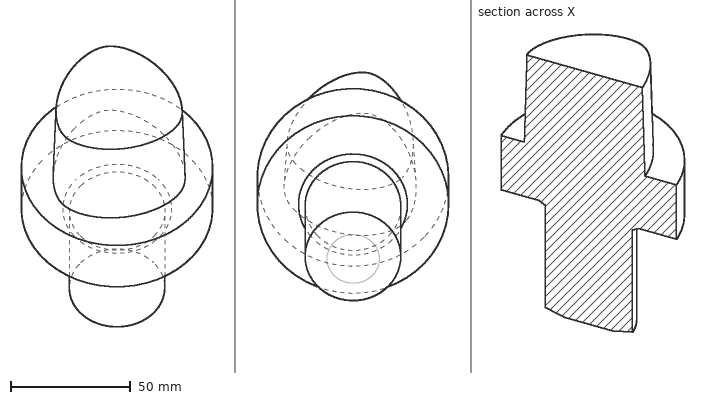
import cadquery as cq
import math

total_height = 138.0
flange_diameter = 80.0
flange_height = 30.0
shank_diameter = 40.0
tip_diameter = 22.0
tip_height = 2.5
neck_top_diameter = 45.5
neck_height = 1.7

head_height = 48.0
head_base_width = 55.2
head_taper = 1 / 20
lobe_offset = 2.0
lobe_direction = -math.pi / 2
curve_points = 48

flange_top = total_height - head_height
flange_bottom = flange_top - flange_height
head_top_width = head_base_width - head_taper * head_height


def make_body():
    """Revolve the shank, its conical tip and neck, and the flange."""
    profile = (
        cq.Workplane("XZ")
        .moveTo(0, 0)
        .lineTo(tip_diameter / 2, 0)
        .lineTo(shank_diameter / 2, tip_height)
        .lineTo(shank_diameter / 2, flange_bottom - neck_height)
        .lineTo(neck_top_diameter / 2, flange_bottom)
        .lineTo(flange_diameter / 2, flange_bottom)
        .lineTo(flange_diameter / 2, flange_top)
        .lineTo(0, flange_top)
        .close()
    )
    return profile.revolve(360, (0, 0, 0), (0, 1, 0))


def lobed_point(width, angle):
    """Point of the lobed curve whose outward normal lies at the given angle."""
    lobe_angle = 3 * (angle - lobe_direction)
    reach = width / 2 + lobe_offset * math.cos(lobe_angle)
    reach_slope = -3 * lobe_offset * math.sin(lobe_angle)
    return (
        reach * math.cos(angle) - reach_slope * math.sin(angle),
        reach * math.sin(angle) + reach_slope * math.cos(angle),
    )


def lobed_outline(width):
    """Points around the closed lobed curve of the given width."""
    step = 2 * math.pi / curve_points
    return [lobed_point(width, i * step) for i in range(curve_points)]


def make_head():
    """Loft the tapered head between its base and top outlines."""
    return (
        cq.Workplane("XY", origin=(0, 0, flange_top))
        .spline(lobed_outline(head_base_width), periodic=True, makeWire=True)
        .workplane(offset=head_height)
        .spline(lobed_outline(head_top_width), periodic=True, makeWire=True)
        .loft(ruled=True, combine=True)
    )


result = make_body().union(make_head())